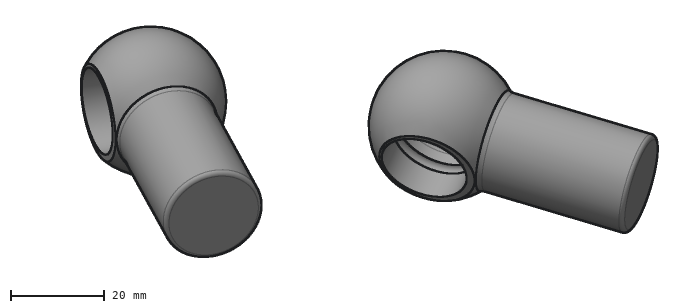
import cadquery as cq
import math

length = 61.15
ball_radius = 32.2 / 2
shank_radius = 22.0 / 2
shank_end = length - ball_radius
end_rounding = 1.0
neck_start = 11.5
neck_end = 12.8
neck_sag = 0.05

face_distance = 12.05
face_tilt = 3.0

bore_radius = 19.0 / 2
groove_width = 2.45
groove_depth = groove_width / 2
groove_overlap = 0.6
groove_offset = 4.0


def make_body():
    """Ball, concave neck and shank revolved as one profile about X."""
    neck_start_radius = math.sqrt(ball_radius**2 - neck_start**2)
    neck_middle = (
        (neck_start + neck_end) / 2,
        (neck_start_radius + shank_radius) / 2 - neck_sag,
    )
    profile = (
        cq.Workplane("XY")
        .moveTo(-ball_radius, 0)
        .threePointArc((0, ball_radius), (neck_start, neck_start_radius))
        .threePointArc(neck_middle, (neck_end, shank_radius))
        .lineTo(shank_end, shank_radius)
        .lineTo(shank_end, 0)
        .close()
    )
    body = profile.revolve(360, (0, 0, 0), (1, 0, 0))
    return body.faces(">X").edges().fillet(end_rounding)


def make_face_cutter():
    """Block that trims the ball to the tilted flat around the socket mouth."""
    size = 2 * ball_radius
    return (
        cq.Workplane("XY")
        .box(size, size, size)
        .translate((0, -face_distance - size / 2, 0))
        .intersect(cq.Workplane("XY").box(2 * neck_start, 2 * size, size))
        .rotate((0, 0, 0), (0, 0, 1), face_tilt)
    )


def make_socket():
    """Straight bore with a hemispherical floor and a round retaining groove."""
    bore = cq.Workplane("XZ").circle(bore_radius).extrude(ball_radius)
    floor = cq.Workplane("XY").sphere(bore_radius)
    groove_wall = bore_radius - groove_overlap
    groove = (
        cq.Workplane("XY")
        .moveTo(groove_wall, -groove_offset - groove_width / 2)
        .lineTo(bore_radius, -groove_offset - groove_width / 2)
        .threePointArc(
            (bore_radius + groove_depth, -groove_offset),
            (bore_radius, -groove_offset + groove_width / 2),
        )
        .lineTo(groove_wall, -groove_offset + groove_width / 2)
        .close()
        .revolve(360, (0, 0, 0), (0, 1, 0))
    )
    return bore.union(floor).union(groove)


result = make_body().cut(make_face_cutter()).cut(make_socket())